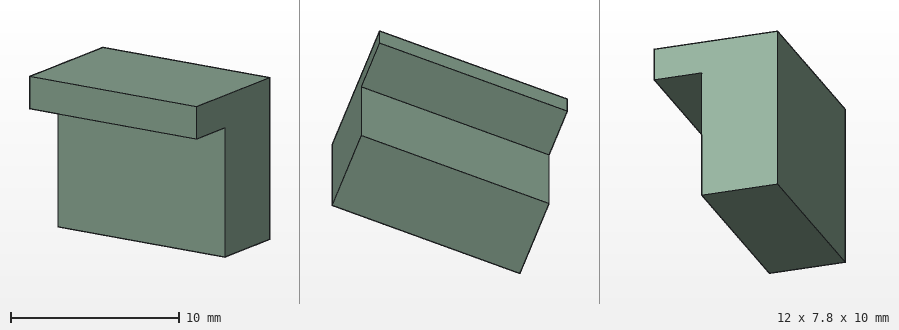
import cadquery as cq

length = 12.0
depth = 7.8
height = 10.0

lip_thickness = 2.0
lip_overhang = 3.0

block_depth = depth - lip_overhang

block = cq.Workplane("XY").box(length, block_depth, height, centered=(True, False, False))

lip = (
    cq.Workplane("XY")
    .box(length, depth, lip_thickness, centered=(True, False, False))
    .translate((0, -lip_overhang, height - lip_thickness))
)

result = block.union(lip).clean()